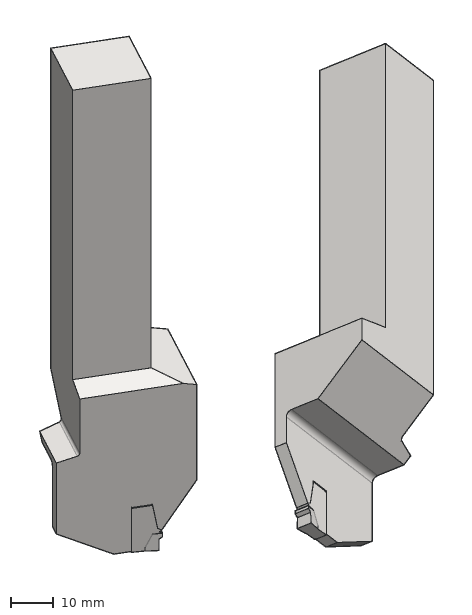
import cadquery as cq
import math

total_height = 127.0
shank_side = 19.0

head_width = 25.1
head_back = 28.5
head_front = -5.7
shoulder_top = 46.7
front_step_top = 29.5
front_step_end = 28.3
front_step_fillet = 0.8
shoulder_slope = math.tan(math.radians(15))
left_bevel_top = 38.1
left_bevel_end = 12.7
head_underside = 26.5

blade_thickness = 3.3
blade_left = head_width - blade_thickness
blade_fillet = 1.5
blade_bottom = 0.6
front_bevel_top = 8.6
front_bevel_end = 8.3
back_bevel_top = 17.8

seat_front = 12.6
seat_top = 12.8
seat_top_back = 17.7
seat_clearance = 0.3
seat_neck = (18.9, 6.0)
seat_mouth = (20.0, 5.3)
rake_notch = (19.4, 5.0)
rake_lip_back = 20.1
rake_lip_top = 4.6
rake_lip_bottom = 3.7
cutting_face = 19.2
cutting_face_top = 3.0
end_relief = 0.4

side_overhang = 0.4
flank_start = (17.7, 4.6)
flank_end = (15.9, 1.1)
wedge_length = 3.2
wedge_reach = 5.1
wedge_half_height = 7.6


def prism_along_x(points, left, right):
    """Solid with a (Y, Z) outline between two X positions."""
    return cq.Workplane("YZ").workplane(offset=left).polyline(points).close().extrude(right - left)


def head_side_outline():
    """Shoulders, step and bevels of the head and blade in (Y, Z)."""
    return [
        (0, shoulder_top),
        (shank_side, shoulder_top),
        (head_back, shoulder_top - shoulder_slope * (head_back - shank_side)),
        (head_back, back_bevel_top),
        seat_mouth,
        (cutting_face, blade_bottom),
        (front_bevel_end, blade_bottom),
        (head_front, front_bevel_top),
        (head_front, front_step_end),
        (0, front_step_top),
    ]


def head_front_profile():
    """Right shoulder, left bevel and blade of the head, seen along Y."""
    profile = (
        cq.Workplane("XZ", origin=(0, head_front, 0))
        .moveTo(0, shoulder_top)
        .lineTo(shank_side, shoulder_top)
        .lineTo(head_width, shoulder_top - shoulder_slope * (head_width - shank_side))
        .lineTo(head_width, 0)
        .lineTo(blade_left, 0)
        .lineTo(blade_left, head_underside - blade_fillet)
        .radiusArc((blade_left - blade_fillet, head_underside), -blade_fillet)
        .lineTo(left_bevel_end, head_underside)
        .lineTo(0, left_bevel_top)
        .close()
    )
    return profile.extrude(head_front - head_back)


def make_holder():
    shank = cq.Workplane("XY", origin=(0, 0, shoulder_top)).rect(
        shank_side, shank_side, centered=False
    ).extrude(total_height - shoulder_top)
    side = prism_along_x(head_side_outline(), 0, head_width)
    step_corner = cq.selectors.NearestToPointSelector((head_width / 2, 0, front_step_top))
    side = side.edges(step_corner).fillet(front_step_fillet)
    holder = side.intersect(head_front_profile()).union(shank)
    seat = [
        (seat_front, 0),
        (seat_front, seat_top),
        (seat_top_back, seat_top),
        seat_neck,
        seat_mouth,
        (head_back, seat_mouth[1]),
        (head_back, 0),
    ]
    return holder.cut(prism_along_x(seat, blade_left, head_width))


def make_flank_wedge():
    """Prism whose two flanks widen from the blade faces toward the cutting face."""
    left_full = blade_left - side_overhang
    right_full = head_width + side_overhang
    lean = math.degrees(math.atan2(flank_start[0] - flank_end[0], flank_start[1] - flank_end[1]))
    wedge = (
        cq.Workplane("XY", origin=(0, 0, -wedge_half_height))
        .polyline([
            (blade_left, 0),
            (left_full, wedge_length),
            (left_full, wedge_reach),
            (right_full, wedge_reach),
            (right_full, wedge_length),
            (head_width, 0),
        ])
        .close()
        .extrude(2 * wedge_half_height)
    )
    return wedge.rotate((0, 0, 0), (1, 0, 0), -lean).translate((0, *flank_start))


def make_insert():
    relief_slope = end_relief / (cutting_face - seat_front)
    cutting_edge = [
        (rake_lip_back, rake_lip_top),
        (rake_lip_back, rake_lip_bottom),
        (cutting_face, cutting_face_top),
        (cutting_face, 0),
    ]
    body_outline = [
        (seat_front, end_relief),
        (seat_front, seat_top - seat_clearance),
        (seat_top_back, seat_top - seat_clearance),
        seat_neck,
        seat_mouth,
        rake_notch,
        *cutting_edge,
    ]
    flank_end_relief = relief_slope * (cutting_face - flank_end[0])
    head_outline = [
        (flank_end[0], flank_end_relief),
        (flank_end[0], rake_lip_top),
        *cutting_edge,
    ]
    body = prism_along_x(body_outline, blade_left, head_width)
    head = prism_along_x(head_outline, blade_left - side_overhang, head_width + side_overhang)
    return body.union(head.intersect(make_flank_wedge()))


holder = make_holder()
insert = make_insert()
result = cq.Compound.makeCompound([holder.val(), insert.val()])